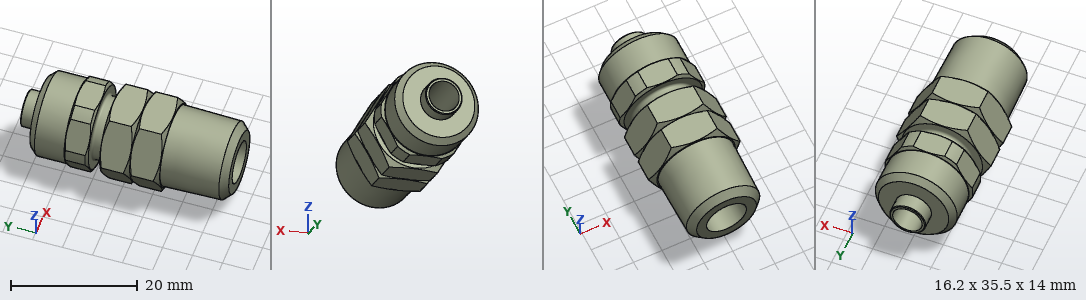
import cadquery as cq
import math

total_length = 35.5
across_flats = 14.0
flat_radius = across_flats / 2

thread_length = 10.97
thread_tip_radius = 6.45
thread_root_radius = 6.67
thread_chamfer_length = 1.25
thread_chamfer_depth = 1.2

body_hex_length = 5.0
body_corner_radius = flat_radius / math.cos(math.pi / 6)
hex_end_radius = 6.9
hex_chamfer_angle = 30.0

neck_length = 1.88
neck_radius = 5.22
body_fillet = 0.5
nut_fillet = 0.4

nut_hex_length = 4.0
nut_corner_radius = 7.5
cap_length = 6.05
cap_chamfer_length = 1.1
cap_chamfer_depth = 1.0

spigot_radius = 3.05
spigot_chamfer = 0.15

large_bore_radius = 3.5
small_bore_radius = 2.52
large_bore_depth = 15.98
bore_cone_angle = 59.0

body_middle = thread_length + body_hex_length
body_end = body_middle + body_hex_length
nut_start = body_end + neck_length
nut_hex_end = nut_start + nut_hex_length
cap_end = nut_hex_end + cap_length


def revolve_profile(points):
    """Turn an outline of (radius, Y) points, closed on the axis, around Y."""
    axis_points = [(0, points[0][1])] + points + [(0, points[-1][1])]
    return cq.Workplane("XY").polyline(axis_points).close().revolve(360, (0, 0, 0), (0, 1, 0))


def hexagon(start, length, corner_radius):
    """Hexagon with corners on X, trimmed to corner_radius and chamfered conically at both ends."""
    end = start + length
    chamfer = (corner_radius - hex_end_radius) * math.tan(math.radians(hex_chamfer_angle))
    envelope = revolve_profile([
        (hex_end_radius, start),
        (corner_radius, start + chamfer),
        (corner_radius, end - chamfer),
        (hex_end_radius, end),
    ])
    prism = (
        cq.Workplane("XZ", origin=(0, start, 0))
        .polygon(6, 2 * body_corner_radius)
        .extrude(-length)
    )
    return prism.intersect(envelope)


def thread():
    return revolve_profile([
        (thread_tip_radius - thread_chamfer_depth, 0),
        (thread_tip_radius, thread_chamfer_length),
        (thread_root_radius, thread_length),
    ])


def neck():
    """Cylinder flared by concave fillets into the body and the nut."""
    diagonal = math.sqrt(0.5)
    body_side = neck_radius + body_fillet * (1 - diagonal)
    nut_side = neck_radius + nut_fillet * (1 - diagonal)
    return (
        cq.Workplane("XY")
        .moveTo(0, body_end)
        .lineTo(neck_radius + body_fillet, body_end)
        .threePointArc(
            (body_side, body_end + body_fillet * (1 - diagonal)),
            (neck_radius, body_end + body_fillet),
        )
        .lineTo(neck_radius, nut_start - nut_fillet)
        .threePointArc(
            (nut_side, nut_start - nut_fillet * (1 - diagonal)),
            (neck_radius + nut_fillet, nut_start),
        )
        .lineTo(0, nut_start)
        .close()
        .revolve(360, (0, 0, 0), (0, 1, 0))
    )


def cap_and_spigot():
    return revolve_profile([
        (flat_radius, nut_hex_end),
        (flat_radius, cap_end - cap_chamfer_length),
        (flat_radius - cap_chamfer_depth, cap_end),
        (spigot_radius, cap_end),
        (spigot_radius, total_length - spigot_chamfer),
        (spigot_radius - spigot_chamfer, total_length),
    ])


def bore():
    cone_length = (large_bore_radius - small_bore_radius) / math.tan(math.radians(bore_cone_angle))
    return revolve_profile([
        (large_bore_radius, 0),
        (large_bore_radius, large_bore_depth),
        (small_bore_radius, large_bore_depth + cone_length),
        (small_bore_radius, total_length),
    ])


result = (
    thread()
    .union(hexagon(thread_length, body_hex_length, body_corner_radius))
    .union(hexagon(body_middle, body_hex_length, body_corner_radius))
    .union(neck())
    .union(hexagon(nut_start, nut_hex_length, nut_corner_radius))
    .union(cap_and_spigot())
    .cut(bore())
)